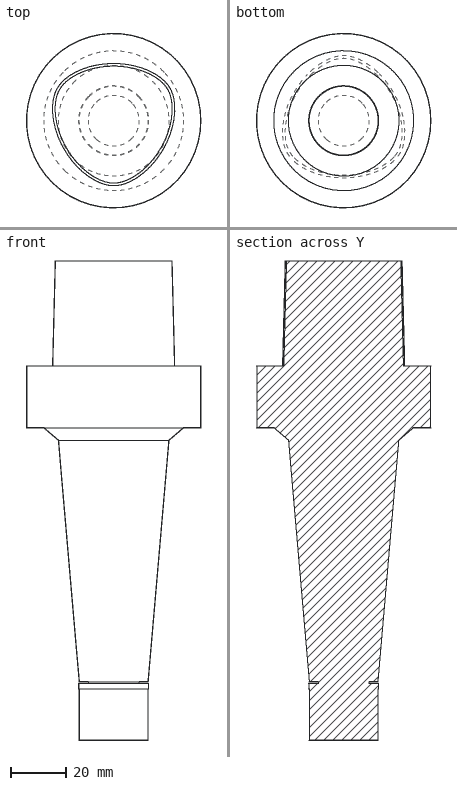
import cadquery as cq
import math

total_height = 173.0
shank_height = 37.9
flange_thickness = 22.3
shoulder_height = 4.5
pilot_height = 18.5
band_height = 2.0
groove_height = 0.5

flange_diameter = 63.0
shoulder_top_diameter = 50.5
arbor_top_diameter = 40.0
arbor_bottom_diameter = 24.9
pilot_diameter = 24.9
band_diameter = 25.3
groove_diameter = 18.3

shank_base_width = 44.1
shank_taper = 1 / 20
lobe_offset = 1.42
lobe_count = 3
curve_points = 72

band_top = pilot_height + band_height
groove_top = band_top + groove_height
flange_top = total_height - shank_height
flange_bottom = flange_top - flange_thickness
arbor_top = flange_bottom - shoulder_height


def make_round_body():
    """Revolve the pilot, band, groove, arbor, shoulder and flange."""
    outline = [
        (0, 0),
        (pilot_diameter / 2, 0),
        (pilot_diameter / 2, pilot_height),
        (band_diameter / 2, pilot_height),
        (band_diameter / 2, band_top),
        (groove_diameter / 2, band_top),
        (groove_diameter / 2, groove_top),
        (arbor_bottom_diameter / 2, groove_top),
        (arbor_top_diameter / 2, arbor_top),
        (shoulder_top_diameter / 2, flange_bottom),
        (flange_diameter / 2, flange_bottom),
        (flange_diameter / 2, flange_top),
        (0, flange_top),
    ]
    profile = cq.Workplane("XZ").polyline(outline).close()
    return profile.revolve(360, (0, 0), (0, 1))


def lobed_point(width, turn):
    """Point on a constant-width lobed curve; turn runs 0 to 1 from the -Y lobe."""
    angle = 2 * math.pi * turn
    reach = width / 2 + lobe_offset * math.cos(lobe_count * angle)
    reach_rate = -lobe_count * lobe_offset * math.sin(lobe_count * angle)
    along = reach * math.cos(angle) - reach_rate * math.sin(angle)
    across = reach * math.sin(angle) + reach_rate * math.cos(angle)
    return across, -along


def lobed_wire(width, height):
    """Closed smooth lobed outline at the given height."""
    points = [
        cq.Vector(*lobed_point(width, index / curve_points), height)
        for index in range(curve_points)
    ]
    return cq.Wire.assembleEdges([cq.Edge.makeSpline(points, periodic=True)])


def make_shank():
    """Loft the lobed shank from the flange to its narrower top."""
    shank_top_width = shank_base_width - shank_height * shank_taper
    base = lobed_wire(shank_base_width, flange_top)
    top = lobed_wire(shank_top_width, total_height)
    return cq.Solid.makeLoft([base, top], True)


result = make_round_body().union(cq.Workplane(make_shank()))